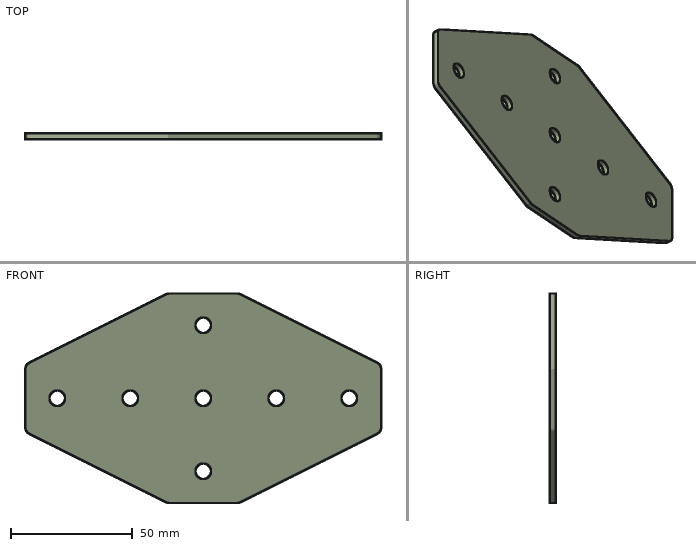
import cadquery as cq

length = 146.0
thickness = 2.5
height = 86.0

end_flat = 27.6
top_flat = 29.2
corner_radius = 3.0

hole_diameter = 6.3
hole_pitch = 30.0
row_steps = (-2, -1, 0, 1, 2)
column_steps = (-1, 1)


def front_face():
    """Workplane on the -Y face of the plate; negative extrusion runs toward +Y."""
    return cq.Workplane("XZ", origin=(0, -thickness / 2, 0))


def plate():
    """Eight-sided plate in the XZ plane, centred on the origin, with rounded corners."""
    quarter = [(length / 2, end_flat / 2), (top_flat / 2, height / 2)]
    upper = quarter + [(-x, z) for x, z in reversed(quarter)]
    lower = [(-x, -z) for x, z in upper]
    body = front_face().polyline(upper + lower).close().extrude(-thickness)
    return body.edges("|Y").fillet(corner_radius)


def hole_pins():
    """Pins for the horizontal row of holes and the two holes above and below its centre."""
    row = [(step * hole_pitch, 0) for step in row_steps]
    column = [(0, step * hole_pitch) for step in column_steps]
    pins = front_face().pushPoints(row + column).circle(hole_diameter / 2)
    return pins.extrude(-thickness)


result = plate().cut(hole_pins())